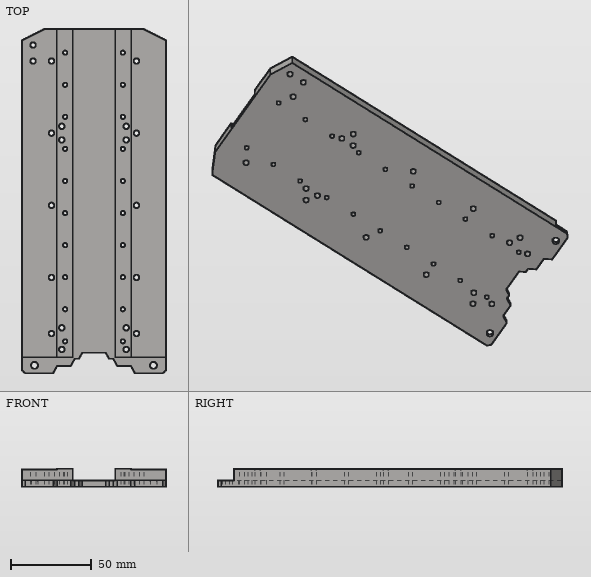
import cadquery as cq

plate_width = 90.0
plate_length = 214.8
plate_thickness = 4.0
half_width = plate_width / 2

front_chamfer = 2.0
step_run = 2.5
first_step_half_width = 23.0
first_step_depth = 4.5
second_step_half_width = 12.0
second_step_depth = 9.0
notch_half_width = 7.3
notch_depth = 12.7
notch_run = 2.1

rear_cut_x = 14.0
rear_cut_y = 7.0

block_height = 6.9
block_front = 10.0
channel_half_width = 13.2

seat_height = 0.45
seat_outer = 23.1

seat_hole_diameter = 2.53
seat_hole_x = 18.0
seat_hole_first_y = 20.0
seat_hole_pitch = 20.0
seat_hole_count = 10

side_hole_diameter = 3.3
side_hole_x = 26.5
side_hole_rear_distances = (20.0, 65.0, 110.0, 155.0, 190.0)
corner_hole_x = -38.0
corner_hole_rear_distances = (10.0, 20.0)

clamp_hole_diameter = 3.33
clamp_hole_x = 20.1
clamp_hole_ys = (14.9, 28.4, 145.6, 154.1)

mount_hole_diameter = 4.2
mount_hole_x = 37.1
mount_hole_y = 5.0

block_top = plate_thickness + block_height
total_height = block_top + seat_height


def make_outline_solid(height):
    """Extrude the full plate outline from the bottom face."""
    right_side = [
        (notch_half_width, notch_depth),
        (notch_half_width + notch_run, second_step_depth),
        (second_step_half_width, second_step_depth),
        (second_step_half_width + step_run, first_step_depth),
        (first_step_half_width, first_step_depth),
        (first_step_half_width + step_run, 0),
        (half_width - front_chamfer, 0),
        (half_width, front_chamfer),
        (half_width, plate_length - rear_cut_y),
        (half_width - rear_cut_x, plate_length),
    ]
    left_side = [(-x, y) for x, y in reversed(right_side)]
    return cq.Workplane("XY").polyline(right_side + left_side).close().extrude(height)


def make_band(x_start, x_end, height):
    """Box from the block front to the rear edge, standing on the bottom face."""
    return (
        cq.Workplane("XY")
        .box(x_end - x_start, plate_length - block_front, height, centered=False)
        .translate((x_start, block_front, 0))
    )


def make_body():
    blocks = make_band(channel_half_width, half_width, block_top)
    blocks = blocks.union(make_band(channel_half_width, seat_outer, total_height))
    blocks = blocks.union(blocks.mirror("YZ"))
    blocks = blocks.intersect(make_outline_solid(total_height))
    return make_outline_solid(plate_thickness).union(blocks)


def mirrored_points(x, ys):
    return [(side * x, y) for side in (-1, 1) for y in ys]


def drill(body, diameter, points):
    drills = cq.Workplane("XY").pushPoints(points).circle(diameter / 2).extrude(total_height)
    return body.cut(drills)


seat_hole_ys = [seat_hole_first_y + i * seat_hole_pitch for i in range(seat_hole_count)]
side_hole_ys = [plate_length - distance for distance in side_hole_rear_distances]
corner_holes = [(corner_hole_x, plate_length - distance) for distance in corner_hole_rear_distances]

result = make_body()
result = drill(result, seat_hole_diameter, mirrored_points(seat_hole_x, seat_hole_ys))
result = drill(result, side_hole_diameter, mirrored_points(side_hole_x, side_hole_ys) + corner_holes)
result = drill(result, clamp_hole_diameter, mirrored_points(clamp_hole_x, clamp_hole_ys))
result = drill(result, mount_hole_diameter, mirrored_points(mount_hole_x, [mount_hole_y]))